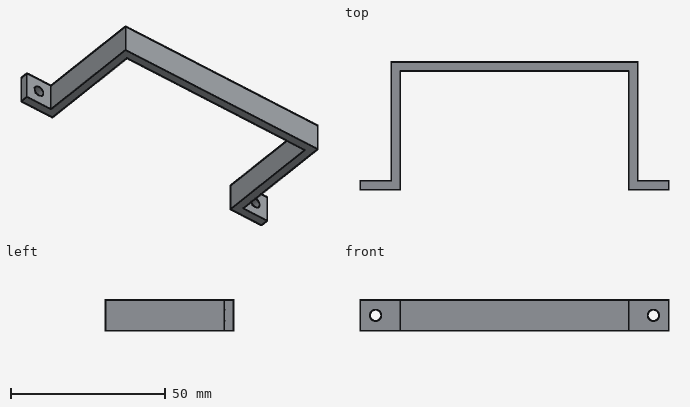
import cadquery as cq

bridge_width = 80.0
total_depth = 41.5
strap_height = 10.0
thickness = 3.0
flange_length = 10.0
hole_diameter = 3.6

outer_x = bridge_width / 2
inner_x = outer_x - thickness
flange_end_x = outer_x + flange_length
hole_x = outer_x + flange_length / 2


def make_strap():
    """Hat-shaped strap: a bridge, two legs and two outward flanges."""
    right_half = [
        (inner_x, total_depth - thickness),
        (inner_x, 0),
        (flange_end_x, 0),
        (flange_end_x, thickness),
        (outer_x, thickness),
        (outer_x, total_depth),
    ]
    left_half = [(-x, y) for x, y in reversed(right_half)]
    outline = cq.Workplane("XY").polyline(right_half + left_half).close()
    return outline.extrude(strap_height)


def make_screw_holes():
    """Cylinders along Y, one through the middle of each flange."""
    centers = [(side * hole_x, strap_height / 2) for side in (-1, 1)]
    plane = cq.Workplane("XZ").pushPoints(centers)
    return plane.circle(hole_diameter / 2).extrude(-thickness)


result = make_strap().cut(make_screw_holes())